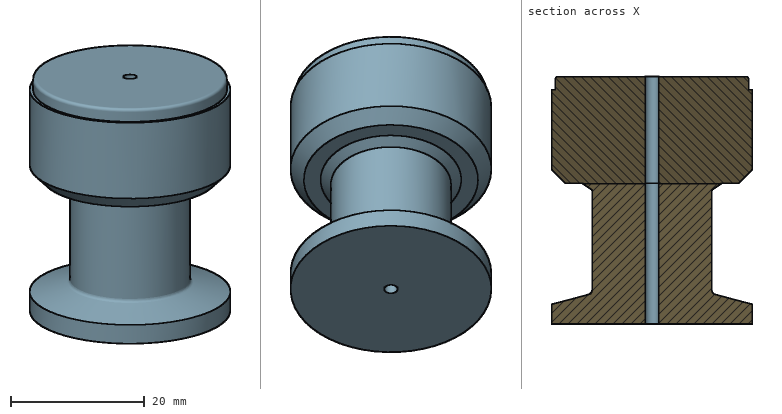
import cadquery as cq

outer_radius = 30.0 / 2
bore_radius = 2.0 / 2
total_height = 37.0

neck_radius = 18.0 / 2
flange_rim_height = 3.0
flange_cone_height = 1.6
neck_root_fillet = 0.5
flare_bottom = 20.0
flare_height = 1.0
flare_top_radius = 10.5

head_bottom = flare_bottom + flare_height
head_chamfer = 2.0
lid_radius = 29.0 / 2
lid_height = 2.0
lid_fillet = 0.48
drum_top = total_height - lid_height

flange_cone_top = flange_rim_height + flange_cone_height


def revolve_profile(points):
    """Revolve a closed (radius, height) outline about the Z axis."""
    return cq.Workplane("XZ").polyline(points).close().revolve(360, (0, 0), (0, 1))


def make_stem():
    """Flange with a conical back, a straight neck and a flare under the head."""
    stem = revolve_profile([
        (bore_radius, 0),
        (outer_radius, 0),
        (outer_radius, flange_rim_height),
        (neck_radius, flange_cone_top),
        (neck_radius, flare_bottom),
        (flare_top_radius, head_bottom),
        (bore_radius, head_bottom),
    ])
    neck_root = cq.selectors.BoxSelector(
        (-outer_radius, -outer_radius, flange_cone_top - neck_root_fillet),
        (outer_radius, outer_radius, flange_cone_top + neck_root_fillet),
        boundingbox=True,
    )
    return stem.edges(neck_root).fillet(neck_root_fillet)


def make_head():
    """Drum chamfered at its bottom, with a rounded lid on its top."""
    head = revolve_profile([
        (bore_radius, head_bottom),
        (outer_radius - head_chamfer, head_bottom),
        (outer_radius, head_bottom + head_chamfer),
        (outer_radius, drum_top),
        (lid_radius, drum_top),
        (lid_radius, total_height),
        (bore_radius, total_height),
    ])
    lid_rim = cq.selectors.RadiusNthSelector(-1)
    return head.faces(">Z").edges(lid_rim).fillet(lid_fillet)


stem = make_stem()
head = make_head()

result = cq.Compound.makeCompound([stem.val(), head.val()])